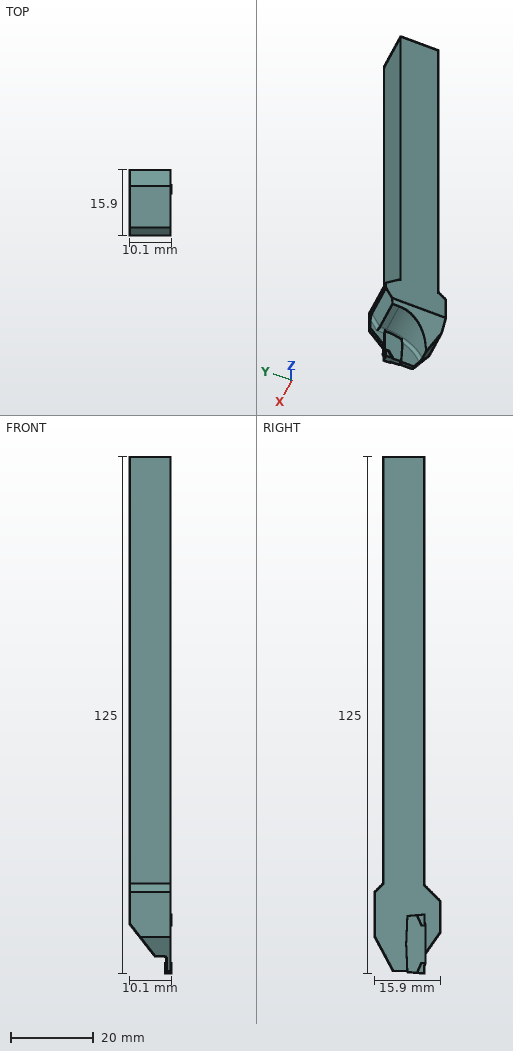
import cadquery as cq
import math

total_length = 125.0
shank_depth = 10.0
body_width = 9.9
head_overhang_front = 2.0
head_overhang_back = 3.9
shoulder_top_front = 21.75
shoulder_top_back = 21.4
head_front_y = -head_overhang_front
head_back_y = shank_depth + head_overhang_back

front_taper_top = 8.9
blade_bottom = 0.6
blade_bottom_front_y = 2.45
jaw_corner_z = 10.0
jaw_angle = 55.0

blade_x = 9.05
relief_fillet = 0.8
relief_arc_radius = 10.0
relief_arc_z = 0.9
relief_top = relief_arc_z + relief_arc_radius
relief_ramp_y = 11.8
relief_ramp_slope = 2.14
clearance = 5.0

bevel_top = 12.0
bevel_slope = 1.28

insert_length = 14.3
insert_back_end_y = 5.9
insert_back_middle_y = 5.6
insert_top_y = 10.3
insert_waist_width = 1.15
tip_side_step = 0.19
cutting_edge_y = shank_depth
tip_length = 2.6
tip_rake_z = 1.8
tip_land_y = 9.3
tip_toe_y = 8.2
end_relief = 0.35


def outline_plane(x):
    """Sketch plane whose local axes are Y and Z."""
    return cq.Workplane("YZ", origin=(x, 0, 0))


def extrude_along_x(outline, start_x, end_x):
    return outline_plane(start_x).polyline(outline).close().extrude(end_x - start_x)


def end_face_z(y):
    """Height of the insert's relieved end face."""
    return end_relief * (cutting_edge_y - y) / (cutting_edge_y - insert_back_end_y)


def make_blank():
    jaw_end_z = jaw_corner_z - (head_back_y - insert_top_y) * math.tan(math.radians(jaw_angle))
    outline = [
        (0, total_length),
        (0, shoulder_top_front),
        (head_front_y, shoulder_top_front - head_overhang_front),
        (head_front_y, front_taper_top),
        (blade_bottom_front_y, blade_bottom),
        (insert_back_end_y, blade_bottom),
        (insert_back_end_y, jaw_end_z),
        (insert_top_y, jaw_end_z),
        (head_back_y, jaw_corner_z),
        (head_back_y, shoulder_top_back - head_overhang_back),
        (shank_depth, shoulder_top_back),
        (shank_depth, total_length),
    ]
    return extrude_along_x(outline, 0, body_width)


def make_relief_cutter():
    ramp_end_y = head_back_y + clearance
    ramp_end_z = relief_top + (ramp_end_y - relief_ramp_y) * relief_ramp_slope
    arc_start_y = shank_depth - relief_arc_radius
    arc_middle = relief_arc_radius * math.cos(math.radians(45))
    cutter = (
        outline_plane(-clearance)
        .moveTo(arc_start_y, -clearance)
        .lineTo(arc_start_y, relief_arc_z)
        .threePointArc((shank_depth - arc_middle, relief_arc_z + arc_middle), (shank_depth, relief_top))
        .lineTo(relief_ramp_y, relief_top)
        .lineTo(ramp_end_y, ramp_end_z)
        .lineTo(ramp_end_y, -clearance)
        .close()
        .extrude(blade_x + clearance)
    )
    return cutter.faces(">X").edges().fillet(relief_fillet)


def make_bevel_cutter():
    reach = bevel_top + clearance
    outline = [
        (-clearance, bevel_top + clearance * bevel_slope),
        (reach / bevel_slope, -clearance),
        (-clearance, -clearance),
    ]
    width = head_back_y - head_front_y + 2 * clearance
    plane = cq.Workplane("XZ", origin=(0, head_back_y + clearance, 0))
    return plane.polyline(outline).close().extrude(width)


def make_insert():
    middle_z = insert_length / 2
    lower_half = [
        (insert_back_middle_y, middle_z),
        (insert_back_end_y, end_face_z(insert_back_end_y)),
        (cutting_edge_y, 0),
        (cutting_edge_y, tip_rake_z),
        (insert_top_y, tip_length),
        (insert_top_y, middle_z),
    ]
    tip = [
        (cutting_edge_y, 0),
        (cutting_edge_y, tip_rake_z),
        (insert_top_y, tip_length),
        (tip_land_y, tip_length),
        (tip_toe_y, end_face_z(tip_toe_y)),
    ]
    waist_x = body_width - insert_waist_width
    half = extrude_along_x(lower_half, waist_x, body_width).union(
        extrude_along_x(tip, waist_x - tip_side_step, body_width + tip_side_step)
    )
    other_half = half.mirror("XY").translate((0, 0, insert_length))
    return half.union(other_half)


insert = make_insert()
holder = make_blank().cut(make_relief_cutter()).cut(make_bevel_cutter()).cut(insert)

result = cq.Compound.makeCompound([holder.solids().val(), insert.solids().val()])